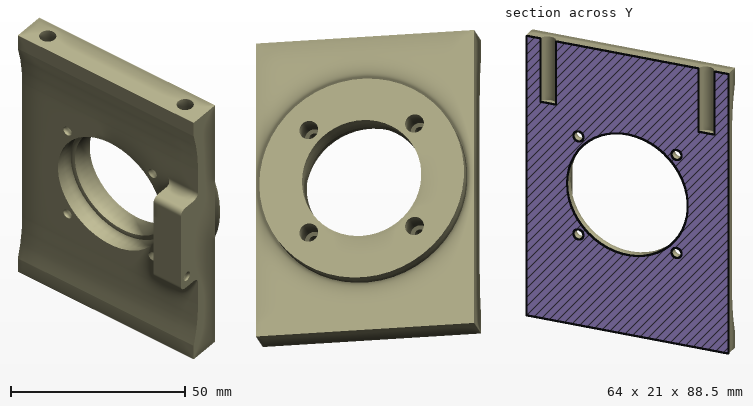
import cadquery as cq

plate_width = 64.0
plate_height = 88.5
plate_thickness = 10.0

recess_depth = 2.0
recess_half_height = 25.1
blend_radius = 50.0

boss_diameter = 60.0
boss_height = 5.0
bore_diameter = 35.0
counterbore_diameter = 38.0
counterbore_depth = 6.0

screw_hole_diameter = 3.0
screw_head_diameter = 5.5
screw_head_depth = 8.0
screw_hole_spacing = 31.0

edge_hole_diameter = 5.0
edge_hole_spacing = 50.0
edge_hole_depth = 20.0

tab_width = 10.0
tab_height = 30.0
tab_front_overhang = 6.0
tab_corner_radius = 2.0
tab_end_fillet = 2.0
tab_side_fillet = 1.0
tab_hole_diameter = 3.0
tab_hole_front_offset = 2.8
tab_hole_bottom_offset = 4.0

quarter_arc_middle = 1 - 0.5**0.5

front_y = -plate_thickness
recess_y = front_y + recess_depth
tab_front_y = front_y - tab_front_overhang
tab_left_x = plate_width / 2 - tab_width
blend_center_y = recess_y - blend_radius
blend_rise = (blend_radius**2 - (blend_radius - recess_depth) ** 2) ** 0.5
blend_end_z = recess_half_height + blend_rise


def cylinder_along_y(diameter, start_y, end_y, x=0, z=0):
    base = cq.Plane(origin=(x, start_y, z), xDir=(1, 0, 0), normal=(0, 1, 0))
    return cq.Workplane(base).circle(diameter / 2).extrude(end_y - start_y)


def make_plate():
    half_height = plate_height / 2
    blend_mid_z = recess_half_height + blend_rise / 2
    blend_mid_y = blend_center_y + (blend_radius**2 - (blend_rise / 2) ** 2) ** 0.5
    return (
        cq.Workplane("YZ", origin=(-plate_width / 2, 0, 0))
        .moveTo(0, -half_height)
        .lineTo(0, half_height)
        .lineTo(front_y, half_height)
        .lineTo(front_y, blend_end_z)
        .threePointArc((blend_mid_y, blend_mid_z), (recess_y, recess_half_height))
        .lineTo(recess_y, -recess_half_height)
        .threePointArc((blend_mid_y, -blend_mid_z), (front_y, -blend_end_z))
        .lineTo(front_y, -half_height)
        .close()
        .extrude(plate_width)
    )


def make_tab():
    """Tab with concave fillets at its foot, mitred where end and side fillets meet."""
    end_z = tab_height / 2
    foot_z = end_z + tab_end_fillet
    foot_x = tab_left_x - tab_side_fillet
    foot_mid = tab_end_fillet * quarter_arc_middle
    side_mid = tab_side_fillet * quarter_arc_middle
    corner_mid = tab_corner_radius * quarter_arc_middle
    corner_y = tab_front_y + tab_corner_radius
    corner_z = end_z - tab_corner_radius

    upper_end_outline = (
        cq.Workplane("YZ", origin=(foot_x, 0, 0))
        .moveTo(0, 0)
        .lineTo(0, foot_z)
        .lineTo(recess_y, foot_z)
        .threePointArc((recess_y - foot_mid, end_z + foot_mid), (recess_y - tab_end_fillet, end_z))
        .lineTo(corner_y, end_z)
        .threePointArc((tab_front_y + corner_mid, end_z - corner_mid), (tab_front_y, corner_z))
        .lineTo(tab_front_y, 0)
        .close()
        .extrude(tab_width + tab_side_fillet)
    )
    both_ends = upper_end_outline.union(upper_end_outline.mirror("XY")).clean()

    side_arc_middle = (tab_left_x - side_mid, recess_y - side_mid)
    side_outline = (
        cq.Workplane("XY", origin=(0, 0, -foot_z))
        .moveTo(plate_width / 2, 0)
        .lineTo(foot_x, 0)
        .lineTo(foot_x, recess_y)
        .threePointArc(side_arc_middle, (tab_left_x, recess_y - tab_side_fillet))
        .lineTo(tab_left_x, tab_front_y)
        .lineTo(plate_width / 2, tab_front_y)
        .close()
        .extrude(2 * foot_z)
    )
    return both_ends.intersect(side_outline)


def make_tab_hole():
    """Hole through the tab along X, near its lower front corner."""
    hole_y = tab_front_y + tab_hole_front_offset
    hole_z = -tab_height / 2 + tab_hole_bottom_offset
    return (
        cq.Workplane("YZ", origin=(tab_left_x, hole_y, hole_z))
        .circle(tab_hole_diameter / 2)
        .extrude(tab_width)
    )


def make_bore():
    through = cylinder_along_y(bore_diameter, recess_y, boss_height)
    counterbore = cylinder_along_y(counterbore_diameter, recess_y, recess_y + counterbore_depth)
    return through.union(counterbore)


def make_screw_hole(x, z):
    through = cylinder_along_y(screw_hole_diameter, recess_y, boss_height, x, z)
    head = cylinder_along_y(screw_head_diameter, boss_height - screw_head_depth, boss_height, x, z)
    return through.union(head)


def make_edge_hole(x):
    return (
        cq.Workplane("XY", origin=(x, front_y / 2, plate_height / 2))
        .circle(edge_hole_diameter / 2)
        .extrude(-edge_hole_depth)
    )


result = make_plate()
result = result.union(cylinder_along_y(boss_diameter, 0, boss_height))
result = result.union(make_tab())
result = result.cut(make_bore())
result = result.cut(make_tab_hole())

for x_side in (-1, 1):
    result = result.cut(make_edge_hole(x_side * edge_hole_spacing / 2))
    for z_side in (-1, 1):
        screw_x = x_side * screw_hole_spacing / 2
        screw_z = z_side * screw_hole_spacing / 2
        result = result.cut(make_screw_hole(screw_x, screw_z))